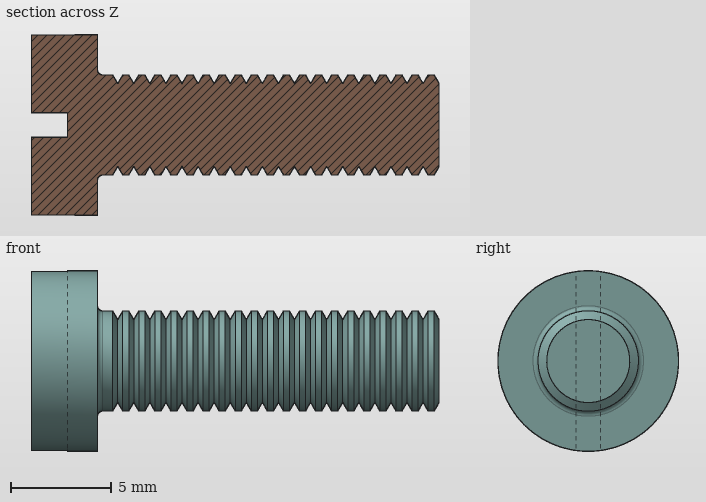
import cadquery as cq
import math

overall_length = 20.3
head_diameter = 9.0
head_height = 3.3
slot_width = 1.2
slot_depth = 1.8
neck_fillet_radius = 0.25

thread_diameter = 5.0
thread_pitch = 0.8
groove_count = 20
groove_width = 0.5
groove_angle = 60.0

head_radius = head_diameter / 2
thread_radius = thread_diameter / 2
groove_half_width = groove_width / 2
groove_depth = groove_half_width / math.tan(math.radians(groove_angle / 2))
root_radius = thread_radius - groove_depth


def make_blank():
    """Head and threaded shank, turned in one piece with the ring grooves."""
    neck_radius = thread_radius + neck_fillet_radius
    fillet_end = head_height + neck_fillet_radius
    fillet_sag = neck_fillet_radius * (1 - math.sqrt(0.5))

    profile = (
        cq.Workplane("XZ")
        .lineTo(0, head_radius)
        .lineTo(head_height, head_radius)
        .lineTo(head_height, neck_radius)
        .threePointArc(
            (head_height + fillet_sag, thread_radius + fillet_sag),
            (fillet_end, thread_radius),
        )
    )

    for pitches_from_end in range(groove_count, 0, -1):
        groove_center = overall_length - pitches_from_end * thread_pitch
        profile = (
            profile.lineTo(groove_center - groove_half_width, thread_radius)
            .lineTo(groove_center, root_radius)
            .lineTo(groove_center + groove_half_width, thread_radius)
        )

    profile = (
        profile.lineTo(overall_length - groove_half_width, thread_radius)
        .lineTo(overall_length, root_radius)
        .lineTo(overall_length, 0)
        .close()
    )
    return profile.revolve(360, (0, 0, 0), (1, 0, 0))


def make_slot():
    """Driver slot, running along Z across the whole head face."""
    return cq.Workplane("XY").box(
        slot_depth, slot_width, head_diameter, centered=(False, True, True)
    )


result = make_blank().cut(make_slot())